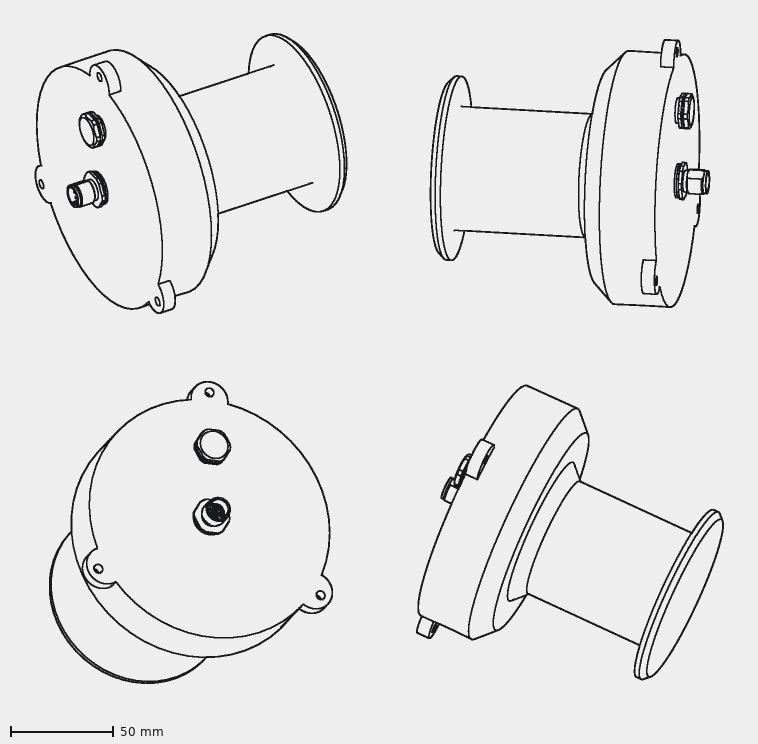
import cadquery as cq
import math


HOUSING_RADIUS = 62.0
MOUNTING_FACE_RADIUS = 61.85
RIM_END_Y = 27.5
SHOULDER_CHAMFER = 9.0
SHOULDER_Y = RIM_END_Y + SHOULDER_CHAMFER
SHOULDER_RADIUS = HOUSING_RADIUS - SHOULDER_CHAMFER

TUBE_RADIUS = 30.25
COLLAR_LENGTH = 7.0
COLLAR_END_Y = SHOULDER_Y + COLLAR_LENGTH
COLLAR_RADIUS = TUBE_RADIUS + COLLAR_LENGTH

BODY_LENGTH = 114.7
FLANGE_RADIUS = 45.0
FLANGE_THICKNESS = 5.4
FLANGE_BEVEL_LENGTH = 2.8
FLANGE_FRONT_Y = BODY_LENGTH - FLANGE_THICKNESS
FLANGE_RIM_Y = BODY_LENGTH - FLANGE_BEVEL_LENGTH
FLANGE_BACK_RADIUS = 42.3
FLANGE_ROOT_FILLET = 0.9

LUG_COUNT = 3
FIRST_LUG_ANGLE = 90.0
LUG_RADIUS = 9.5
LUG_CENTRE_RADIUS = HOUSING_RADIUS
LUG_THICKNESS = 6.5
LUG_HOLE_RADIUS = 2.2
LUG_HOLE_CENTRE_RADIUS = 66.0

PLUG_Z = 36.0
PLUG_ACROSS_FLATS = 16.0
PLUG_CORNER_DIAMETER = 17.2
PLUG_NECK_DIAMETER = 12.5
PLUG_NUT_START = 1.9
PLUG_NUT_END = 3.3
PLUG_GROOVE_DIAMETER = 13.3
PLUG_HEAD_START = 4.4
PLUG_HEAD_CHAMFER_START = 6.5
PLUG_HEAD_END = 7.2
PLUG_FACE_DIAMETER = 14.2

SEAL_DIAMETER = 16.7
SEAL_THICKNESS = 1.0
WASHER_DIAMETER = 16.4
NUT_START = 2.0
NUT_END = 3.7
NUT_ACROSS_FLATS = 17.0
NUT_CORNER_DIAMETER = 18.1
UNDERCUT_RADIUS = 5.3
UNDERCUT_END = 5.5
SLEEVE_RADIUS = 6.0
SLEEVE_START = 6.0
SLEEVE_END = 13.0
TIP_RADIUS = 5.6
TIP_START = 13.7
CONNECTOR_LENGTH = 15.0
SLEEVE_FLAT_DISTANCE = 5.3
SLEEVE_FLAT_ANGLE = 120.0
SOCKET_RADIUS = 4.6
SOCKET_DEPTH = 6.0
INNER_SOCKET_RADIUS = 4.0
INNER_SOCKET_DEPTH = 8.0
PIN_COUNT = 4
PIN_RADIUS = 0.5
PIN_CIRCLE_RADIUS = 2.1
PIN_LENGTH = 6.0
PIN_COLLAR_RADIUS = 1.1
PIN_COLLAR_LENGTH = 1.5
PIN_START_ANGLE = 70.0
KEY_WIDTH = 1.0
KEY_HEIGHT = 0.8


def cylinder(radius, start, end, x=0.0, z=0.0):
    """Solid cylinder along Y between two Y positions."""
    axis = cq.Vector(0, 1, 0)
    return cq.Workplane(cq.Solid.makeCylinder(radius, end - start, cq.Vector(x, start, z), axis))


def on_circle(radius, angle):
    """X and Z of a point on a circle around the Y axis."""
    return radius * math.cos(math.radians(angle)), radius * math.sin(math.radians(angle))


def hexagon(across_flats, start, end, z=0.0):
    """Hexagonal prism along Y with flats facing +Z and -Z."""
    corner_circle = across_flats / math.cos(math.radians(30))
    plane = cq.Workplane("XZ", origin=(0, end, z))
    return plane.polygon(6, corner_circle).extrude(end - start)


def make_body():
    profile = (
        cq.Workplane("XY")
        .moveTo(0, 0)
        .lineTo(MOUNTING_FACE_RADIUS, 0)
        .lineTo(HOUSING_RADIUS, RIM_END_Y)
        .lineTo(SHOULDER_RADIUS, SHOULDER_Y)
        .lineTo(COLLAR_RADIUS, SHOULDER_Y)
        .lineTo(TUBE_RADIUS, COLLAR_END_Y)
        .lineTo(TUBE_RADIUS, FLANGE_FRONT_Y - FLANGE_ROOT_FILLET)
        .radiusArc((TUBE_RADIUS + FLANGE_ROOT_FILLET, FLANGE_FRONT_Y), FLANGE_ROOT_FILLET)
        .lineTo(FLANGE_RADIUS, FLANGE_FRONT_Y)
        .lineTo(FLANGE_RADIUS, FLANGE_RIM_Y)
        .lineTo(FLANGE_BACK_RADIUS, BODY_LENGTH)
        .lineTo(0, BODY_LENGTH)
        .close()
    )
    return profile.revolve(360, (0, 0, 0), (0, 1, 0))


def add_lugs(body):
    angles = [FIRST_LUG_ANGLE + i * 360 / LUG_COUNT for i in range(LUG_COUNT)]
    for angle in angles:
        x, z = on_circle(LUG_CENTRE_RADIUS, angle)
        body = body.union(cylinder(LUG_RADIUS, 0, LUG_THICKNESS, x, z))
    for angle in angles:
        x, z = on_circle(LUG_HOLE_CENTRE_RADIUS, angle)
        body = body.cut(cylinder(LUG_HOLE_RADIUS, 0, LUG_THICKNESS, x, z))
    return body


def make_plug():
    corner_radius = PLUG_CORNER_DIAMETER / 2
    neck = cylinder(PLUG_NECK_DIAMETER / 2, -PLUG_NUT_START, 0, z=PLUG_Z)
    nut = hexagon(PLUG_ACROSS_FLATS, -PLUG_NUT_END, -PLUG_NUT_START, PLUG_Z)
    nut = nut.intersect(cylinder(corner_radius, -PLUG_NUT_END, -PLUG_NUT_START, z=PLUG_Z))
    groove = cylinder(PLUG_GROOVE_DIAMETER / 2, -PLUG_HEAD_START, -PLUG_NUT_END, z=PLUG_Z)
    head_envelope = (
        cq.Workplane("XY", origin=(0, 0, PLUG_Z))
        .moveTo(0, -PLUG_HEAD_START)
        .lineTo(corner_radius, -PLUG_HEAD_START)
        .lineTo(corner_radius, -PLUG_HEAD_CHAMFER_START)
        .lineTo(PLUG_FACE_DIAMETER / 2, -PLUG_HEAD_END)
        .lineTo(0, -PLUG_HEAD_END)
        .close()
        .revolve(360, (0, 0, 0), (0, 1, 0))
    )
    head = hexagon(PLUG_ACROSS_FLATS, -PLUG_HEAD_END, -PLUG_HEAD_START, PLUG_Z)
    head = head.intersect(head_envelope)
    return neck.union(nut).union(groove).union(head)


def make_sleeve():
    """Threaded sleeve with undercut, stepped tip and one flat along its side."""
    sleeve = (
        cq.Workplane("XY")
        .moveTo(0, -NUT_END)
        .lineTo(UNDERCUT_RADIUS, -NUT_END)
        .lineTo(UNDERCUT_RADIUS, -UNDERCUT_END)
        .lineTo(SLEEVE_RADIUS, -SLEEVE_START)
        .lineTo(SLEEVE_RADIUS, -SLEEVE_END)
        .lineTo(TIP_RADIUS, -TIP_START)
        .lineTo(TIP_RADIUS, -CONNECTOR_LENGTH)
        .lineTo(0, -CONNECTOR_LENGTH)
        .close()
        .revolve(360, (0, 0, 0), (0, 1, 0))
    )
    flat_length = TIP_START - UNDERCUT_END
    flat_cutter = (
        cq.Workplane("XY")
        .box(SLEEVE_RADIUS, flat_length, 2 * SLEEVE_RADIUS, centered=(False, False, True))
        .translate((SLEEVE_FLAT_DISTANCE, -TIP_START, 0))
        .rotate((0, 0, 0), (0, 1, 0), -SLEEVE_FLAT_ANGLE)
    )
    return sleeve.cut(flat_cutter)


def make_connector():
    seal = cylinder(SEAL_DIAMETER / 2, -SEAL_THICKNESS, 0)
    washer = cylinder(WASHER_DIAMETER / 2, -NUT_START, -SEAL_THICKNESS)
    nut = hexagon(NUT_ACROSS_FLATS, -NUT_END, -NUT_START)
    nut = nut.intersect(cylinder(NUT_CORNER_DIAMETER / 2, -NUT_END, -NUT_START))
    connector = seal.union(washer).union(nut).union(make_sleeve())
    return cut_socket(connector)


def cut_socket(connector):
    """Stepped socket in the end of the sleeve, with collared contact pins and a coding key."""
    step = SOCKET_DEPTH - CONNECTOR_LENGTH
    floor = INNER_SOCKET_DEPTH - CONNECTOR_LENGTH
    connector = connector.cut(cylinder(SOCKET_RADIUS, -CONNECTOR_LENGTH, step))
    connector = connector.cut(cylinder(INNER_SOCKET_RADIUS, step, floor))
    for i in range(PIN_COUNT):
        x, z = on_circle(PIN_CIRCLE_RADIUS, PIN_START_ANGLE + i * 360 / PIN_COUNT)
        connector = connector.union(cylinder(PIN_COLLAR_RADIUS, floor - PIN_COLLAR_LENGTH, floor, x, z))
        connector = connector.union(cylinder(PIN_RADIUS, floor - PIN_LENGTH, floor, x, z))
    key = (
        cq.Workplane("XY")
        .box(KEY_WIDTH, SOCKET_DEPTH, 2 * KEY_HEIGHT, centered=(True, False, True))
        .translate((0, -CONNECTOR_LENGTH, -SOCKET_RADIUS))
    )
    return connector.union(key)


result = add_lugs(make_body()).union(make_plug()).union(make_connector())